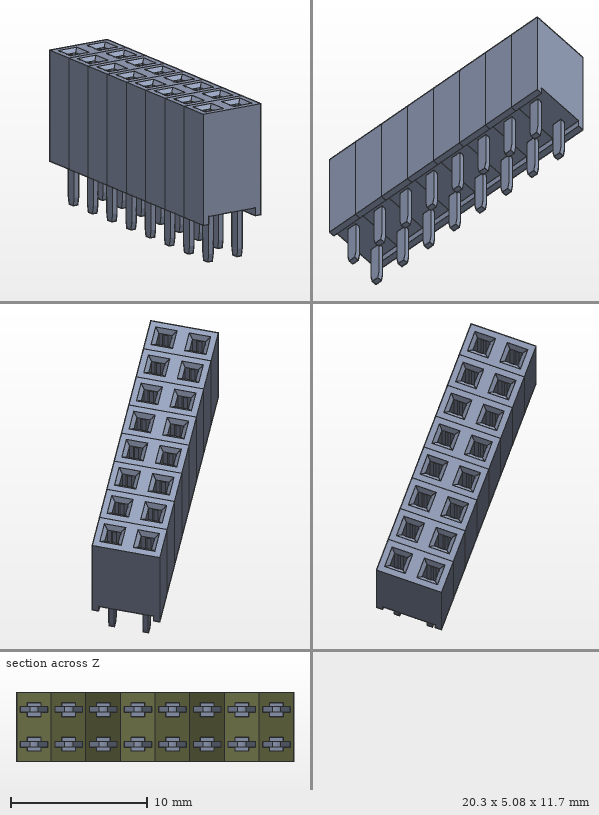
import cadquery as cq
import math


strip_length = 20.32
module_count = 8
pitch = strip_length / module_count
housing_depth = 2 * pitch
housing_height = 8.5

foot_width = 0.49
foot_height = 0.6

overall_height = 11.7
pin_spacing = 2.56
pin_width = 0.8
pin_thickness = 0.4
tip_width = 0.55
tip_length = 0.6

socket_spacing = 2.52
mouth_size = 1.6
mouth_flare = 0.3
mouth_depth = 0.3
socket_size = mouth_size - 2 * mouth_flare
socket_depth = 5.08

slot_half_width = 1.0
slot_roof_gap = 0.1
slot_wall_angle = 70.0
slot_floor_half_width = 0.3
slot_floor_radius = 0.59

ROW_SIDES = (-1, 1)


def make_housing():
    """Plain block with the channel cut along X between its two feet."""
    block = cq.Workplane("XY").box(pitch, housing_depth, housing_height, centered=(True, True, False))
    channel = cq.Workplane("XY").box(
        pitch, housing_depth - 2 * foot_width, foot_height, centered=(True, True, False)
    )
    return block.cut(channel)


def make_pin(y):
    """Flat pin that hangs below the housing and tapers in width at its tip."""
    tip_z = housing_height - overall_height
    taper_z = tip_z + tip_length
    outline = [
        (-pin_width / 2, foot_height),
        (-pin_width / 2, taper_z),
        (-tip_width / 2, tip_z),
        (tip_width / 2, tip_z),
        (pin_width / 2, taper_z),
        (pin_width / 2, foot_height),
    ]
    return cq.Workplane("XZ", origin=(0, y, 0)).polyline(outline).close().extrude(pin_thickness / 2, both=True)


def make_socket(y):
    """Square blind hole with a mouth that widens towards the top face."""
    hole = (
        cq.Workplane("XY", origin=(0, y, housing_height))
        .rect(socket_size, socket_size)
        .extrude(-socket_depth)
    )
    mouth_taper = math.degrees(math.atan2(mouth_flare, mouth_depth))
    mouth = (
        cq.Workplane("XY", origin=(0, y, housing_height))
        .rect(mouth_size, mouth_size)
        .extrude(-mouth_depth, taper=mouth_taper)
    )
    return hole.union(mouth)


def make_contact_slot(y):
    """Thin pocket with upright walls to the socket floor, then sloping walls and a hollow round floor."""
    roof_z = housing_height - mouth_depth - slot_roof_gap
    slope_top_z = housing_height - socket_depth
    slope_run = slot_half_width - slot_floor_half_width
    slope_bottom_z = slope_top_z - slope_run * math.tan(math.radians(slot_wall_angle))
    floor_sag = slot_floor_radius - math.sqrt(slot_floor_radius**2 - slot_floor_half_width**2)
    return (
        cq.Workplane("XZ", origin=(0, y, 0))
        .moveTo(-slot_half_width, roof_z)
        .lineTo(-slot_half_width, slope_top_z)
        .lineTo(-slot_floor_half_width, slope_bottom_z)
        .threePointArc((0, slope_bottom_z - floor_sag), (slot_floor_half_width, slope_bottom_z))
        .lineTo(slot_half_width, slope_top_z)
        .lineTo(slot_half_width, roof_z)
        .close()
        .extrude(pin_thickness / 2, both=True)
    )


def make_module():
    """One two-contact module, centred on the Z axis."""
    module = make_housing()
    for side in ROW_SIDES:
        pin_y = side * pin_spacing / 2
        socket_y = side * socket_spacing / 2
        module = module.union(make_pin(pin_y))
        module = module.cut(make_socket(socket_y)).cut(make_contact_slot(pin_y))
    return module


module = make_module()
modules = []
for index in range(module_count):
    module_x = (index - (module_count - 1) / 2) * pitch
    modules.append(module.translate((module_x, 0, 0)).val())

result = cq.Compound.makeCompound(modules)